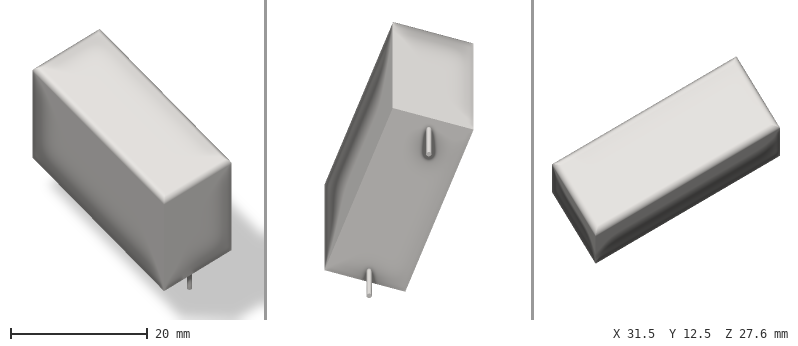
import cadquery as cq

case_length = 31.5
case_width = 12.5
case_height = 21.5
top_edge_radius = 1.0

lead_diameter = 0.8
lead_spacing = 27.5
lead_length = 6.08


def make_case():
    """Case standing on Z = 0, with its four top edges rounded."""
    case = cq.Workplane("XY").box(case_length, case_width, case_height, centered=(True, True, False))
    return case.faces(">Z").edges().fillet(top_edge_radius)


def make_leads():
    """Two leads hanging from the underside of the case."""
    return (
        cq.Workplane("XY")
        .pushPoints([(-lead_spacing / 2, 0), (lead_spacing / 2, 0)])
        .circle(lead_diameter / 2)
        .extrude(-lead_length)
    )


result = make_case().union(make_leads())